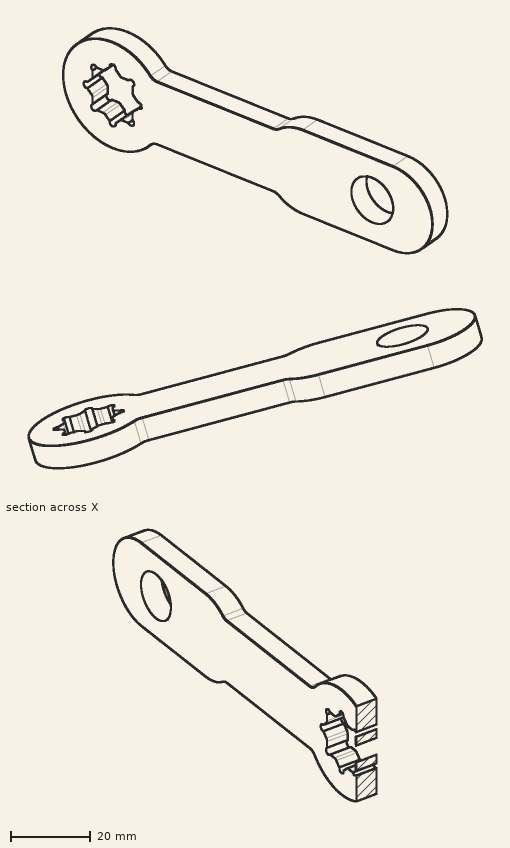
import cadquery as cq
import math

length = 117.5
thickness = 6.3
ring_radius = 15.9
neck_half_height = 9.4
grip_radius = 12.6
neck_fillet = 2.7
edge_chamfer = 0.1

hole_diameter = 13.3
hole_x = 82.5

point_count = 8
square_half_side = 6.3
crest_fillet = 1.2
tip_to_tip = 18.5
slot_half_width = 0.9

grip_end_x = length - ring_radius - grip_radius
grip_start_x = 60.4


def plate(sketch):
    """Extrude an XZ outline symmetrically about the XZ plane."""
    return sketch.extrude(thickness / 2, both=True)


def make_body():
    fillet_centre_z = neck_half_height + neck_fillet
    ring_reach = ring_radius + neck_fillet
    grip_reach = grip_radius + neck_fillet
    ring_fillet_x = math.sqrt(ring_reach**2 - fillet_centre_z**2)
    grip_fillet_x = grip_start_x - math.sqrt(grip_reach**2 - fillet_centre_z**2)

    ring_ratio = ring_radius / ring_reach
    ring_join = (ring_fillet_x * ring_ratio, fillet_centre_z * ring_ratio)
    grip_ratio = grip_radius / grip_reach
    grip_join = (
        grip_start_x + (grip_fillet_x - grip_start_x) * grip_ratio,
        fillet_centre_z * grip_ratio,
    )

    def mirrored(point):
        return (point[0], -point[1])

    neck_start = (ring_fillet_x, neck_half_height)
    neck_end = (grip_fillet_x, neck_half_height)
    grip_start = (grip_start_x, grip_radius)
    grip_end = (grip_end_x, grip_radius)

    outline = (
        cq.Workplane("XZ")
        .moveTo(*ring_join)
        .radiusArc(neck_start, -neck_fillet)
        .lineTo(*neck_end)
        .radiusArc(grip_join, -neck_fillet)
        .radiusArc(grip_start, grip_radius)
        .lineTo(*grip_end)
        .threePointArc((grip_end_x + grip_radius, 0), mirrored(grip_end))
        .lineTo(*mirrored(grip_start))
        .radiusArc(mirrored(grip_join), grip_radius)
        .radiusArc(mirrored(neck_end), -neck_fillet)
        .lineTo(*mirrored(neck_start))
        .radiusArc(mirrored(ring_join), -neck_fillet)
        .threePointArc((-ring_radius, 0), ring_join)
        .close()
    )
    return plate(outline).faces("<Y or >Y").chamfer(edge_chamfer)


def make_socket():
    socket = plate(cq.Workplane("XZ").rect(2 * square_half_side, 2 * square_half_side))
    socket = socket.union(socket.rotate((0, 0, 0), (0, 1, 0), 360 / point_count))

    crossing_radius = square_half_side / math.cos(math.pi / point_count)
    corner_radius = square_half_side * math.sqrt(2)
    limit = (crossing_radius + corner_radius) / 2
    crests = socket.edges("|Y").filter(lambda edge: math.hypot(edge.Center().x, edge.Center().z) < limit)
    socket = socket.newObject(crests.vals()).fillet(crest_fillet)

    slot = plate(cq.Workplane("XZ").slot2D(tip_to_tip, 2 * slot_half_width))
    for index in range(point_count // 2):
        socket = socket.union(slot.rotate((0, 0, 0), (0, 1, 0), index * 360 / point_count))
    return socket


def make_hanging_hole():
    return plate(cq.Workplane("XZ").center(hole_x, 0).circle(hole_diameter / 2))


result = make_body().cut(make_socket()).cut(make_hanging_hole())